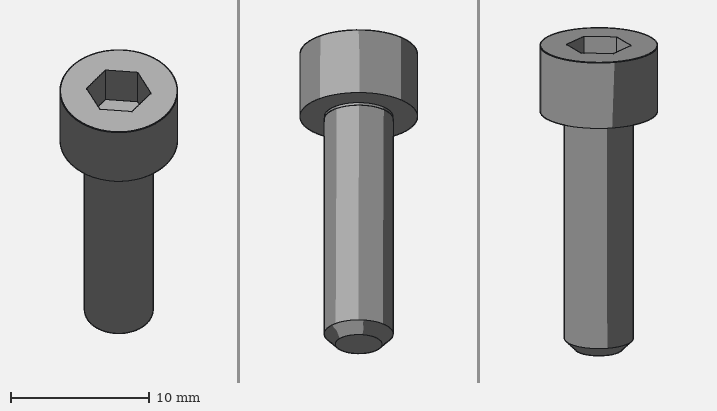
import cadquery as cq
import math

total_length = 23.0
head_diameter = 8.5
head_height = 5.0
head_chamfer = 0.05
shank_diameter = 5.0
tip_diameter = 3.38
tip_height = 0.8
neck_diameter = 4.97
neck_height = 0.2
socket_across_flats = 4.05
socket_depth = 3.0

head_radius = head_diameter / 2
shank_radius = shank_diameter / 2
neck_radius = neck_diameter / 2
tip_radius = tip_diameter / 2
head_bottom = total_length - head_height


def screw_body():
    """Revolve the half profile: tapered tip, shank, neck and head."""
    profile = (
        cq.Workplane("XZ")
        .lineTo(tip_radius, 0)
        .lineTo(shank_radius, tip_height)
        .lineTo(shank_radius, head_bottom - neck_height)
        .lineTo(neck_radius, head_bottom - neck_height)
        .lineTo(neck_radius, head_bottom)
        .lineTo(head_radius, head_bottom)
        .lineTo(head_radius, total_length - head_chamfer)
        .lineTo(head_radius - head_chamfer, total_length)
        .lineTo(0, total_length)
        .close()
    )
    return profile.revolve(360, (0, 0, 0), (0, 1, 0))


def hex_socket():
    """Hexagonal drive recess with two corners on the X axis."""
    across_corners = socket_across_flats / math.cos(math.pi / 6)
    return (
        cq.Workplane("XY", origin=(0, 0, total_length))
        .polygon(6, across_corners)
        .extrude(-socket_depth)
    )


result = screw_body().cut(hex_socket())